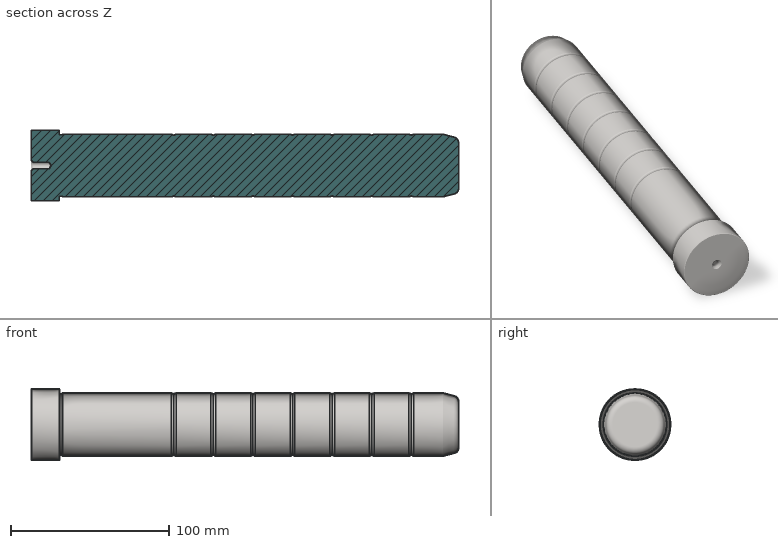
import cadquery as cq
import math

total_length = 270.0
head_diameter = 45.0
head_length = 18.0
head_chamfer = 0.4
shank_diameter = 40.0

relief_width = 2.0
relief_depth = 0.5

groove_count = 7
groove_start = 88.5
groove_pitch = 25.0
groove_width = 3.0
groove_flank_angle = 25.0

nose_length = 10.0
nose_angle = 15.0
nose_fillet = 4.0

centre_mouth_diameter = 6.6
centre_pilot_diameter = 4.0
centre_cone_angle = 90.0
centre_pilot_length = 10.0
centre_tip_angle = 118.0

head_radius = head_diameter / 2
shank_radius = shank_diameter / 2


def revolve_about_x(profile):
    """Turn a closed XZ profile into a solid of revolution about the X axis."""
    return profile.revolve(360, (0, 0, 0), (1, 0, 0))


def make_pillar():
    """Head and shank with the tapered, rounded nose."""
    nose_start = total_length - nose_length
    tip_radius = shank_radius - nose_length * math.tan(math.radians(nose_angle))
    profile = (
        cq.Workplane("XZ")
        .moveTo(0, 0)
        .lineTo(0, head_radius - head_chamfer)
        .lineTo(head_chamfer, head_radius)
        .lineTo(head_length - head_chamfer, head_radius)
        .lineTo(head_length, head_radius - head_chamfer)
        .lineTo(head_length, shank_radius)
        .lineTo(nose_start, shank_radius)
        .lineTo(total_length, tip_radius)
        .lineTo(total_length, 0)
        .close()
    )
    return revolve_about_x(profile).faces(">X").edges().fillet(nose_fillet)


def make_relief():
    """Ring that undercuts the shank next to the head, with a sloped outer flank."""
    floor_radius = shank_radius - relief_depth
    relief_end = head_length + relief_width
    profile = (
        cq.Workplane("XZ")
        .moveTo(head_length, shank_radius)
        .lineTo(head_length, floor_radius)
        .lineTo(relief_end - relief_depth, floor_radius)
        .lineTo(relief_end, shank_radius)
        .close()
    )
    return revolve_about_x(profile)


def make_groove(start):
    """V-section ring for one oil groove that begins at the given X."""
    groove_depth = groove_width / 2 * math.tan(math.radians(groove_flank_angle))
    profile = (
        cq.Workplane("XZ")
        .moveTo(start, shank_radius)
        .lineTo(start + groove_width / 2, shank_radius - groove_depth)
        .lineTo(start + groove_width, shank_radius)
        .close()
    )
    return revolve_about_x(profile)


def make_centre_hole():
    """Countersunk blind hole with a conical drill point."""
    mouth_radius = centre_mouth_diameter / 2
    pilot_radius = centre_pilot_diameter / 2
    cone_depth = (mouth_radius - pilot_radius) / math.tan(math.radians(centre_cone_angle / 2))
    pilot_end = cone_depth + centre_pilot_length
    tip_depth = pilot_radius / math.tan(math.radians(centre_tip_angle / 2))
    profile = (
        cq.Workplane("XZ")
        .moveTo(0, 0)
        .lineTo(0, mouth_radius)
        .lineTo(cone_depth, pilot_radius)
        .lineTo(pilot_end, pilot_radius)
        .lineTo(pilot_end + tip_depth, 0)
        .close()
    )
    return revolve_about_x(profile)


result = make_pillar().cut(make_relief()).cut(make_centre_hole())
for index in range(groove_count):
    result = result.cut(make_groove(groove_start + index * groove_pitch))